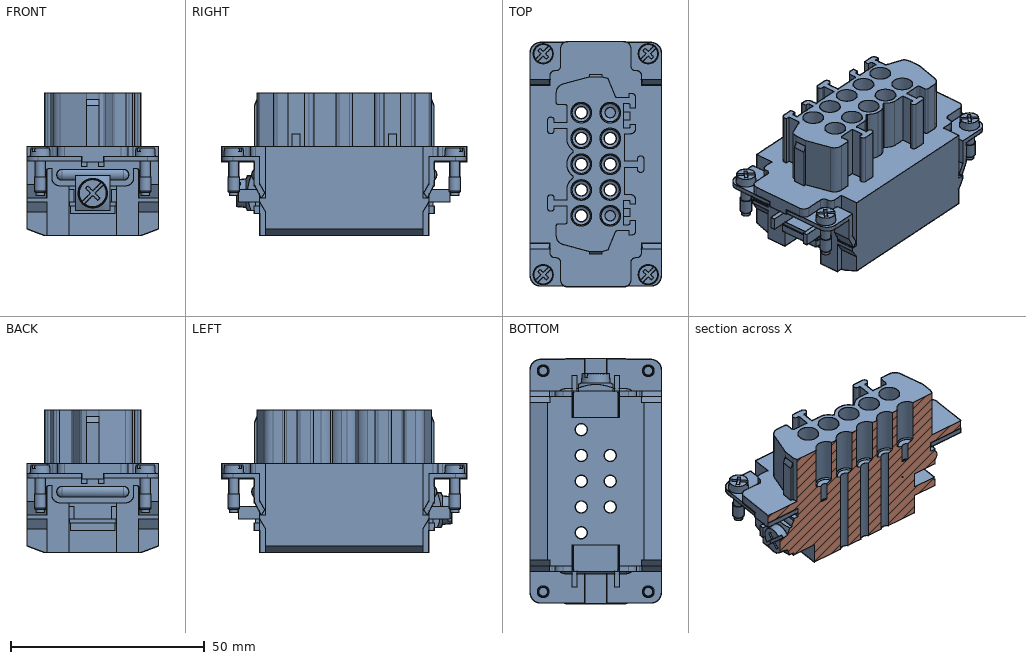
import cadquery as cq
import math


TOTAL_HEIGHT = 36.9
FLANGE_TOP = 23.1
FLANGE_BOTTOM = 20.5

BODY_HALF_WIDTH = 17.0
BODY_END = 20.3
BODY_CHAMFER_X = 4.5
BODY_CHAMFER_Z = 1.7
SHOULDER_HALF_WIDTH = 11.8
SHOULDER_END = 21.9
RECESS_HALF_WIDTH = 6.1
RECESS_TOP = 12.9
RECESS_FLOOR = 16.5
WEDGE_TOP = 9.7
WEDGE_EDGE = 8.7
WEDGE_BOTTOM = 6.15

TOTAL_LENGTH = 63.4
TONGUE_HALF_WIDTH = 9.05
TONGUE_CORNER_RADIUS = 1.8
NECK_LENGTH = 48.3
NECK_RADIUS = 1.2

BRACKET_END = 31.5
BRACKET_BOTTOM = 19.3
BRACKET_CORNER_RADIUS = 2.8
LEG_INNER = 21.9
LEG_OUTER = 23.25
LEG_SLOT_INNER = 10.6
LEG_SLOT_OUTER = 12.0
LEG_SLOT_TOP = 17.3
LEG_CORNER_RADIUS = 2.1
FOOT_BEND_Z = 13.2
FOOT_INNER_BEND_Z = 13.45
FOOT_TIP = (21.4, 9.65)
FOOT_INNER_TIP = (20.55, 11.0)
NOTCH_HALF_WIDTH = 2.9
NOTCH_BOTTOM = 17.9
KEY_HALF_WIDTH = 2.8
KEY_BOTTOM = 19.1
FILLER_HALF_WIDTH = 1.5

BEAD_Z = 15.7
BEAD_HALF_HEIGHT = 1.4
BEAD_RISE = 0.65
BEAD_RADIUS = (BEAD_HALF_HEIGHT**2 + BEAD_RISE**2) / (2 * BEAD_RISE)
BEAD_HALF_LENGTH = 9.3

POST_INNER = 4.9
POST_OUTER = RECESS_HALF_WIDTH
POST_END = 27.3
POST_TOP = 11.9
POST_BOTTOM = WEDGE_EDGE
BAR_HALF_WIDTH = 5.95
BAR_END = 22.95
SHELF_TOP = 7.7
SHELF_BOTTOM = 5.7
SHELF_HALF_WIDTH = 5.7
EARTH_Z = 10.95
CLAMP_SIDE = 9.0
CLAMP_FACE = 25.35
CLAMP_CONE_RADIUS = 3.8
CLAMP_CONE_SLOPE = 0.5
EARTH_HEAD_END = 27.8
EARTH_HEAD_BASE_RADIUS = 3.75
EARTH_HEAD_TOP_RADIUS = 3.5
EARTH_SHORT_SLOT = 4.45

SCREW_X = 13.55
SCREW_Y = 28.5
HEAD_TOP = 22.7
HEAD_BASE_RADIUS = 2.6
HEAD_TOP_RADIUS = 2.4
SHORT_SLOT = 3.05
SLOT_WIDTH = 0.8
SLOT_DEPTH = 1.0
SHANK_RADIUS = 1.3
THREAD_RADIUS = 1.5
THREAD_TOP = 15.15
THREAD_BOTTOM = 11.5
THREAD_CHAMFER = 0.3
TIP_RADIUS = 1.15
TIP_BOTTOM = 10.35

INSERT_Z = (FLANGE_TOP, TOTAL_HEIGHT)
HOLE_X = 3.75
HOLE_PITCH = 6.65
HOLE_ROWS = (-2, -1, 0, 1, 2)
HOLE_RADIUS = 2.65
SEAT_RADIUS = 2.35
BORE_RADIUS = 1.5
BLIND_BORE_RADIUS = 1.3
SEAT_Z = 24.1
SEAT_SLOPE = 0.5
BLIND_BORE_FLOOR = 19.0
WALL_X = 7.4
BARREL_RADIUS = 3.75
BARREL_FLAT_HALF = math.sqrt(BARREL_RADIUS**2 - (WALL_X - HOLE_X) ** 2)
BARREL_WEB_X = -5.9
HEAD_INNER_Y = 15.4
HEAD_LEFT_X = -10.2
HEAD_SLOPE = math.radians(15)
HEAD_NOSE_Y = 22.6
HEAD_NOSE_HALF_WIDTH = 1.6
HEAD_RIGHT_X = 3.2
HEAD_STEP_X = 5.2
HEAD_STEP_Y = 17.2
HEAD_CORNER_RADIUS = 2.35
SMALL_RADIUS = 0.5
RAIL_Y = 10.0
RAIL_STEM = 1.6
RAIL_NECK_X = 10.8
RAIL_OUTER_X = 12.4
RAIL_HEAD_LENGTH = 4.25
RAIL_ROUND = 0.75
SOCKET_X = 7.2
HOOK_INNER_X = 8.9
HOOK_OUTER_X = 10.3
HOOK_TOE_X = 8.6
OUTER_HOOK = (15.65, HEAD_STEP_Y)
OUTER_HOOK_LIP = (14.6, 18.25)
INNER_HOOK = (7.85, 9.3)
INNER_HOOK_LIP = (7.85, 10.3)
OUTER_HOOK_RADIUS = 0.95
INNER_HOOK_RADIUS = 1.25
SOCKET_BLOCK = (11.5, 13.45)
SOCKET_BLOCK_HEIGHT = 3.2
NOSE_KEY_Y = 23.2
NOSE_KEY_TOP = 35.1
NOSE_KEY_ROUND_Z = 33.6


def block(x_range, y_range, z_range):
    """Axis-aligned block from its limits along X, Y and Z."""
    return (
        cq.Workplane("XY")
        .box(
            x_range[1] - x_range[0],
            y_range[1] - y_range[0],
            z_range[1] - z_range[0],
            centered=False,
        )
        .translate((x_range[0], y_range[0], z_range[0]))
    )


def wide_block(half_width, y_range, z_range):
    """Block centred on X = 0."""
    return block((-half_width, half_width), y_range, z_range)


def both_ends(shape):
    """A feature of the +Y end together with its mirror at the -Y end."""
    return shape.union(shape.mirror("XZ"))


def both_sides(shape):
    """A feature of the +X side together with its mirror at the -X side."""
    return shape.union(shape.mirror("YZ"))


def round_corner(shape, x, y, radius):
    """Round the vertical edge of a shape that is nearest to (x, y)."""
    middle = (FLANGE_TOP + TOTAL_HEIGHT) / 2
    return shape.edges("|Z").edges(cq.NearestToPointSelector((x, y, middle))).fillet(radius)


def cross_slot(long_slot, short_slot):
    """Screwdriver cross cut downwards from Z = 0, at 45 degrees to X."""
    cross = cq.Workplane("XY").rect(long_slot, SLOT_WIDTH).extrude(-SLOT_DEPTH)
    short = cq.Workplane("XY").rect(SLOT_WIDTH, short_slot).extrude(-SLOT_DEPTH)
    return cross.union(short).rotate((0, 0, 0), (0, 0, 1), 45)


def make_body():
    chamfer_x = BODY_HALF_WIDTH - BODY_CHAMFER_X
    body = (
        cq.Workplane("XZ")
        .polyline(
            [
                (-chamfer_x, 0),
                (chamfer_x, 0),
                (BODY_HALF_WIDTH, BODY_CHAMFER_Z),
                (BODY_HALF_WIDTH, FLANGE_TOP),
                (-BODY_HALF_WIDTH, FLANGE_TOP),
                (-BODY_HALF_WIDTH, BODY_CHAMFER_Z),
            ]
        )
        .close()
        .extrude(BODY_END, both=True)
    )
    shoulder = wide_block(SHOULDER_HALF_WIDTH, (0, SHOULDER_END), (0, FLANGE_TOP))
    recess = wide_block(RECESS_HALF_WIDTH, (RECESS_FLOOR, SHOULDER_END), (0, RECESS_TOP))
    wedge = (
        cq.Workplane("YZ")
        .polyline(
            [
                (0, WEDGE_TOP),
                (SHOULDER_END, WEDGE_TOP),
                (SHOULDER_END, WEDGE_EDGE),
                (BODY_END, WEDGE_BOTTOM),
                (0, WEDGE_BOTTOM),
            ]
        )
        .close()
        .extrude(BODY_HALF_WIDTH, both=True)
    )
    return body.union(both_ends(shoulder.union(wedge))).cut(both_ends(recess))


def make_flange():
    thickness = FLANGE_TOP - FLANGE_BOTTOM
    tongue = (
        cq.Workplane("XY", origin=(0, 0, FLANGE_BOTTOM))
        .rect(2 * TONGUE_HALF_WIDTH, TOTAL_LENGTH)
        .extrude(thickness)
        .edges("|Z")
        .fillet(TONGUE_CORNER_RADIUS)
    )
    neck = (
        cq.Workplane("XY", origin=(0, 0, FLANGE_BOTTOM))
        .rect(2 * SHOULDER_HALF_WIDTH, NECK_LENGTH)
        .extrude(thickness)
        .edges("|Z")
        .fillet(NECK_RADIUS)
    )
    flange = tongue.union(neck)
    for x in (-TONGUE_HALF_WIDTH, TONGUE_HALF_WIDTH):
        for y in (-NECK_LENGTH / 2, NECK_LENGTH / 2):
            flange = round_corner(flange, x, y, NECK_RADIUS)
    return flange


def make_bracket():
    """Angle bracket of the +Y end, with its bent feet and its lock into the flange."""
    profile = [
        (BRACKET_END, FLANGE_BOTTOM),
        (BRACKET_END, BRACKET_BOTTOM),
        (LEG_OUTER, BRACKET_BOTTOM),
        (LEG_OUTER, FOOT_BEND_Z),
        FOOT_TIP,
        FOOT_INNER_TIP,
        (LEG_INNER, FOOT_INNER_BEND_Z),
        (LEG_INNER, FLANGE_BOTTOM),
    ]
    bracket = (
        cq.Workplane("YZ")
        .polyline(profile)
        .close()
        .extrude(BODY_HALF_WIDTH, both=True)
        .edges("|Z and >Y")
        .fillet(BRACKET_CORNER_RADIUS)
    )
    leg_depth = (BODY_END, LEG_OUTER)
    window = wide_block(LEG_SLOT_OUTER, leg_depth, (FOOT_TIP[1], LEG_SLOT_TOP))
    window = window.edges("|Y and >Z").fillet((LEG_SLOT_OUTER - LEG_SLOT_INNER) / 2)
    center_leg = wide_block(LEG_SLOT_INNER, (LEG_INNER, LEG_OUTER), (RECESS_TOP, BRACKET_BOTTOM))
    center_leg = center_leg.edges("|Y and <Z").fillet(LEG_CORNER_RADIUS)
    notch = wide_block(NOTCH_HALF_WIDTH, (LEG_INNER, BRACKET_END), (NOTCH_BOTTOM, FLANGE_BOTTOM))
    key = wide_block(KEY_HALF_WIDTH, (LEG_INNER, TOTAL_LENGTH / 2), (KEY_BOTTOM, FLANGE_BOTTOM))
    filler = wide_block(FILLER_HALF_WIDTH, (LEG_INNER, LEG_OUTER), (NOTCH_BOTTOM, KEY_BOTTOM))
    return bracket.cut(window).union(center_leg).cut(notch).union(key).union(filler)


def make_bead():
    """Shallow round-backed bead with domed ends on the +Y leg."""
    axis_y = LEG_OUTER + BEAD_RISE - BEAD_RADIUS
    straight = BEAD_HALF_LENGTH - BEAD_HALF_HEIGHT
    bead = cq.Workplane("YZ").circle(BEAD_RADIUS).extrude(straight, both=True)
    for x in (-straight, straight):
        bead = bead.union(cq.Workplane("XY").sphere(BEAD_RADIUS).translate((x, 0, 0)))
    bead = bead.translate((0, axis_y, BEAD_Z))
    front = wide_block(
        BODY_HALF_WIDTH,
        (LEG_INNER, LEG_OUTER + BEAD_RISE),
        (BEAD_Z - BEAD_RADIUS, BEAD_Z + BEAD_RADIUS),
    )
    return bead.intersect(front)


def make_terminal():
    """Guard posts, bar and shelf standing out of the recess below the +Y leg."""
    post = block((POST_INNER, POST_OUTER), (RECESS_FLOOR, POST_END), (POST_BOTTOM, POST_TOP))
    bar = wide_block(BAR_HALF_WIDTH, (RECESS_FLOOR, BAR_END), (SHELF_TOP, POST_BOTTOM))
    shelf = wide_block(SHELF_HALF_WIDTH, (RECESS_FLOOR, LEG_OUTER), (SHELF_BOTTOM, SHELF_TOP))
    return both_sides(post).union(bar).union(shelf)


def make_earth_screw():
    """Earth screw and square clamp of the -Y end, modelled upwards along Z then turned."""
    blank_radius = CLAMP_SIDE
    blank_z = CLAMP_FACE - (blank_radius - CLAMP_CONE_RADIUS) * CLAMP_CONE_SLOPE
    cone = (
        cq.Workplane("XZ")
        .polyline(
            [
                (0, RECESS_FLOOR),
                (blank_radius, RECESS_FLOOR),
                (blank_radius, blank_z),
                (CLAMP_CONE_RADIUS, CLAMP_FACE),
                (0, CLAMP_FACE),
            ]
        )
        .close()
        .revolve(360, (0, 0, 0), (0, 1, 0))
    )
    clamp_half = CLAMP_SIDE / 2
    square = wide_block(clamp_half, (-clamp_half, clamp_half), (RECESS_FLOOR, CLAMP_FACE))
    head = (
        cq.Workplane("XY", origin=(0, 0, CLAMP_FACE))
        .circle(EARTH_HEAD_BASE_RADIUS)
        .workplane(offset=EARTH_HEAD_END - CLAMP_FACE)
        .circle(EARTH_HEAD_TOP_RADIUS)
        .loft()
    )
    slots = cross_slot(2 * EARTH_HEAD_BASE_RADIUS, EARTH_SHORT_SLOT)
    head = head.cut(slots.translate((0, 0, EARTH_HEAD_END)))
    screw = cone.intersect(square).union(head)
    return screw.rotate((0, 0, 0), (1, 0, 0), 90).translate((0, 0, EARTH_Z))


def make_corner_screw():
    outline = [
        (0, HEAD_TOP),
        (HEAD_TOP_RADIUS, HEAD_TOP),
        (HEAD_BASE_RADIUS, FLANGE_BOTTOM),
        (SHANK_RADIUS, FLANGE_BOTTOM),
        (SHANK_RADIUS, THREAD_TOP),
        (THREAD_RADIUS, THREAD_TOP),
        (THREAD_RADIUS, THREAD_BOTTOM),
        (THREAD_RADIUS - THREAD_CHAMFER, THREAD_BOTTOM - THREAD_CHAMFER),
        (TIP_RADIUS, THREAD_BOTTOM - THREAD_CHAMFER),
        (TIP_RADIUS, TIP_BOTTOM),
        (0, TIP_BOTTOM),
    ]
    screw = cq.Workplane("XZ").polyline(outline).close().revolve(360, (0, 0, 0), (0, 1, 0))
    slots = cross_slot(2 * HEAD_BASE_RADIUS, SHORT_SLOT)
    return screw.cut(slots.translate((0, 0, HEAD_TOP)))


def make_insert_head():
    """Wide end of the insert at +Y, with a sloped nose and a key rib."""
    run_left = -HEAD_NOSE_HALF_WIDTH - HEAD_LEFT_X
    left_y = HEAD_NOSE_Y - run_left * math.tan(HEAD_SLOPE)
    right_y = HEAD_NOSE_Y - (HEAD_RIGHT_X - HEAD_NOSE_HALF_WIDTH) * math.tan(HEAD_SLOPE)
    head = (
        cq.Workplane("XY", origin=(0, 0, FLANGE_TOP))
        .polyline(
            [
                (HEAD_LEFT_X, HEAD_INNER_Y),
                (HEAD_LEFT_X, left_y),
                (-HEAD_NOSE_HALF_WIDTH, HEAD_NOSE_Y),
                (HEAD_NOSE_HALF_WIDTH, HEAD_NOSE_Y),
                (HEAD_RIGHT_X, right_y),
                (HEAD_STEP_X, HEAD_STEP_Y),
                (SOCKET_X, HEAD_STEP_Y),
                (SOCKET_X, HEAD_INNER_Y),
            ]
        )
        .close()
        .extrude(TOTAL_HEIGHT - FLANGE_TOP)
    )
    head = round_corner(head, HEAD_LEFT_X, left_y, HEAD_CORNER_RADIUS)
    head = round_corner(head, HEAD_LEFT_X, HEAD_INNER_Y, SMALL_RADIUS)
    head = round_corner(head, HEAD_STEP_X, HEAD_STEP_Y, SMALL_RADIUS)
    head = round_corner(head, HEAD_RIGHT_X, right_y, SMALL_RADIUS)
    rib = (
        cq.Workplane("YZ")
        .moveTo(HEAD_INNER_Y, FLANGE_TOP)
        .lineTo(NOSE_KEY_Y, FLANGE_TOP)
        .lineTo(NOSE_KEY_Y, NOSE_KEY_ROUND_Z)
        .lineTo(HEAD_NOSE_Y, NOSE_KEY_TOP)
        .lineTo(HEAD_INNER_Y, NOSE_KEY_TOP)
        .close()
        .extrude(HEAD_NOSE_HALF_WIDTH, both=True)
    )
    return head.union(rib)


def make_rail(y):
    """T-shaped guide rail on the +X side."""
    stem = block((HOLE_X, RAIL_OUTER_X - RAIL_ROUND), (y - RAIL_STEM / 2, y + RAIL_STEM / 2), INSERT_Z)
    head_y = (y - RAIL_HEAD_LENGTH / 2, y + RAIL_HEAD_LENGTH / 2)
    head = block((RAIL_NECK_X, RAIL_OUTER_X), head_y, INSERT_Z)
    return stem.union(head.edges("|Z").fillet(RAIL_ROUND))


def make_hook(arm_y, lip_y, inner_y, outer_y, radius):
    """Hook on the +X side: an arm with a lip, rounded at its inner and outer corners."""
    arm = block((HOLE_X, HOOK_OUTER_X), arm_y, INSERT_Z)
    lip = block((HOOK_INNER_X, HOOK_OUTER_X), lip_y, INSERT_Z)
    hook = round_corner(arm.union(lip), HOOK_INNER_X, inner_y, SMALL_RADIUS)
    return round_corner(hook, HOOK_OUTER_X, outer_y, radius)


def make_insert():
    core = block((BARREL_WEB_X, SOCKET_X), (-HEAD_INNER_Y, HEAD_INNER_Y), INSERT_Z)
    wall = block((-WALL_X, BARREL_WEB_X), (HOLE_PITCH - BARREL_FLAT_HALF, HEAD_INNER_Y), INSERT_Z)
    spine = block((SOCKET_X, WALL_X), (-INNER_HOOK[0], INNER_HOOK[0]), INSERT_Z)
    end = make_insert_head().union(wall)
    end = round_corner(end, -WALL_X, HEAD_INNER_Y, SMALL_RADIUS)
    end = end.union(make_rail(RAIL_Y).mirror("YZ"))
    end = end.union(
        make_hook(OUTER_HOOK, OUTER_HOOK_LIP, OUTER_HOOK[0], OUTER_HOOK_LIP[1], OUTER_HOOK_RADIUS)
    )
    toe_y = (OUTER_HOOK[1], OUTER_HOOK_LIP[1])
    end = end.union(block((HOOK_TOE_X, HOOK_INNER_X), toe_y, INSERT_Z))
    end = end.union(
        make_hook(INNER_HOOK, INNER_HOOK_LIP, INNER_HOOK[1], INNER_HOOK_LIP[0], INNER_HOOK_RADIUS)
    )
    block_z = (FLANGE_TOP, FLANGE_TOP + SOCKET_BLOCK_HEIGHT)
    end = end.union(block((HOLE_X, HOOK_INNER_X), SOCKET_BLOCK, block_z))
    barrels = (
        cq.Workplane("XY", origin=(0, 0, FLANGE_TOP))
        .pushPoints([(-HOLE_X, row * HOLE_PITCH) for row in (-1, 0, 1)])
        .circle(BARREL_RADIUS)
        .extrude(TOTAL_HEIGHT - FLANGE_TOP)
        .intersect(block((-WALL_X, 0), (-HEAD_INNER_Y, HEAD_INNER_Y), INSERT_Z))
    )
    return core.union(spine).union(both_ends(end)).union(barrels).union(make_rail(0))


def make_contact_hole(bore_radius, floor):
    """Stepped contact hole with a two-stage conical seat."""
    seat_top = SEAT_Z + (SEAT_RADIUS - bore_radius) * SEAT_SLOPE
    outline = [
        (0, TOTAL_HEIGHT),
        (HOLE_RADIUS, TOTAL_HEIGHT),
        (HOLE_RADIUS, seat_top + HOLE_RADIUS - SEAT_RADIUS),
        (SEAT_RADIUS, seat_top),
        (bore_radius, SEAT_Z),
        (bore_radius, floor),
        (0, floor),
    ]
    return cq.Workplane("XZ").polyline(outline).close().revolve(360, (0, 0, 0), (0, 1, 0))


result = make_body().union(make_flange())
result = result.union(both_ends(make_bracket().union(make_bead()).union(make_terminal())))
result = result.union(make_earth_screw())
for screw_x in (-SCREW_X, SCREW_X):
    for screw_y in (-SCREW_Y, SCREW_Y):
        result = result.union(make_corner_screw().translate((screw_x, screw_y, 0)))
result = result.union(make_insert())

through_hole = make_contact_hole(BORE_RADIUS, 0)
blind_hole = make_contact_hole(BLIND_BORE_RADIUS, BLIND_BORE_FLOOR)
for row in HOLE_ROWS:
    right_hole = blind_hole if abs(row) == max(HOLE_ROWS) else through_hole
    result = result.cut(through_hole.translate((-HOLE_X, row * HOLE_PITCH, 0)))
    result = result.cut(right_hole.translate((HOLE_X, row * HOLE_PITCH, 0)))